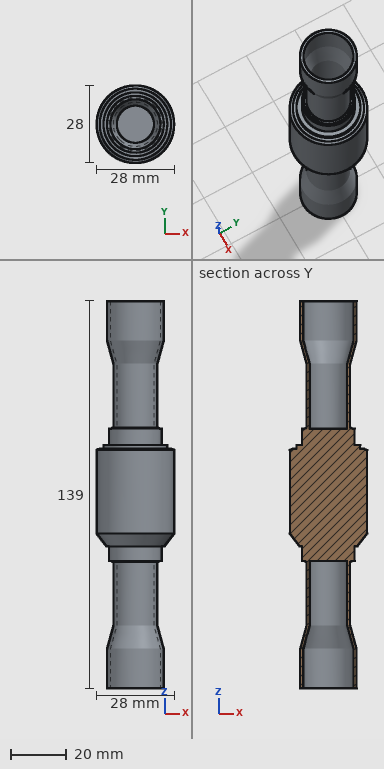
import cadquery as cq

length = 139.0
tube_wall = 1.3

cup_radius = 20.5 / 2
tube_radius = 15.8 / 2
bore_radius = tube_radius - tube_wall
cup_bore_radius = cup_radius - tube_wall
cup_depth = 14.2
taper_depth = 22.5

collar_radius = 19.0 / 2
collar_end_depth = 45.7
braze_radius = 8.8
braze_height = 0.4

body_radius = 28.0 / 2
body_taper_bottom = 51.0
body_bottom = 55.6
body_top = 86.0
body_taper_end_radius = 10.4
rim_radius = 12.8
rim_chamfer_height = 0.4
shoulder_radius = 23.0 / 2
shoulder_top = 87.5


def revolve_profile(points):
    """Revolve a closed (radius, height) outline about the Z axis."""
    return cq.Workplane("XZ").polyline(points).close().revolve(360, (0, 0, 0), (0, 1, 0))


def make_tube_end(inner_depth):
    """Expanded tube end opening at the bottom, with a blind bore and a braze bead at the collar."""
    outside = revolve_profile([
        (0, 0),
        (cup_radius, 0),
        (cup_radius, cup_depth),
        (tube_radius, taper_depth),
        (tube_radius, collar_end_depth - braze_height),
        (braze_radius, collar_end_depth),
        (tube_radius, collar_end_depth),
        (tube_radius, inner_depth),
        (0, inner_depth),
    ])
    bore = revolve_profile([
        (0, 0),
        (cup_bore_radius, 0),
        (cup_bore_radius, cup_depth),
        (bore_radius, taper_depth),
        (bore_radius, collar_end_depth),
        (0, collar_end_depth),
    ])
    return outside.cut(bore)


body = revolve_profile([
    (0, collar_end_depth),
    (collar_radius, collar_end_depth),
    (collar_radius, body_taper_bottom),
    (body_taper_end_radius, body_taper_bottom),
    (body_radius, body_bottom),
    (body_radius, body_top - rim_chamfer_height),
    (rim_radius, body_top),
    (shoulder_radius, body_top),
    (shoulder_radius, shoulder_top),
    (collar_radius, shoulder_top),
    (collar_radius, length - collar_end_depth),
    (0, length - collar_end_depth),
])

lower_tube = make_tube_end(body_taper_bottom)
upper_tube = lower_tube.mirror("XY").translate((0, 0, length))

result = body.union(lower_tube).union(upper_tube)